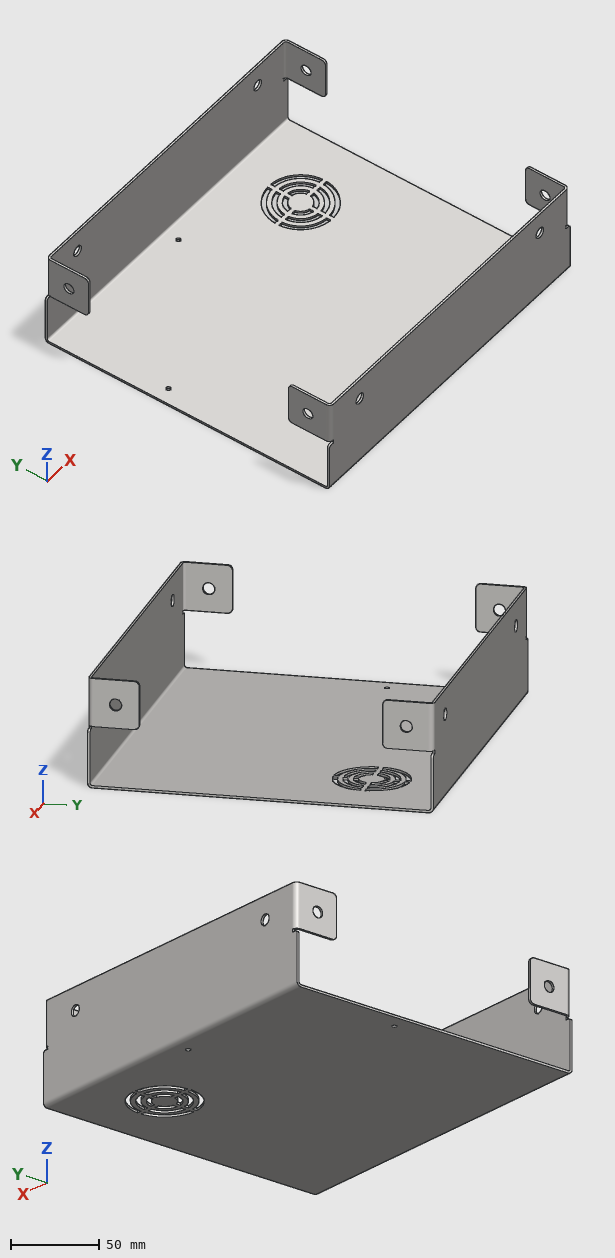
import cadquery as cq

length = 227.0
width = 202.0
height = 65.0
thickness = 1.5
bend_outer_radius = 3.0
bend_inner_radius = bend_outer_radius - thickness

flap_height = 28.5
flap_reach = 30.0
flap_inset = 1.0
flap_corner_radius = 3.0
relief_height = 1.8
relief_depth = flap_inset + bend_outer_radius
shoulder_radius = 2.0

mount_diameter = 7.0
mount_offset = 85.0
mount_z = height - 14.8

pin_diameter = 3.0
pin_centers = [(-2.7, 90.0), (-103.3, 21.0)]

grille_center = (63.5, 53.0)
grille_radius = 22.5
slot_inner_radius = 7.5
slot_width = 3.0
slot_rings = 3
slot_pitch = (grille_radius - slot_width - slot_inner_radius) / (slot_rings - 1)
spoke_width = 3.0


def block(x_range, y_range, z_range):
    """Box between the given limits on each axis."""
    size = [high - low for low, high in (x_range, y_range, z_range)]
    corner = (x_range[0], y_range[0], z_range[0])
    return cq.Workplane("XY").box(*size, centered=False).translate(corner)


def make_channel():
    """Floor and two side walls as one bent U-shaped sheet."""
    outer = (
        cq.Workplane("XY")
        .box(length, width, height, centered=(True, True, False))
        .edges("|X and <Z")
        .fillet(bend_outer_radius)
    )
    inner = (
        cq.Workplane("XY")
        .box(length, width - 2 * thickness, height, centered=(True, True, False))
        .edges("|X and <Z")
        .fillet(bend_inner_radius)
        .translate((0, 0, thickness))
    )
    return outer.cut(inner)


def make_end_notch():
    """Space removed from the upper end of the wall at the -X, -Y corner."""
    return block(
        (-length / 2, -length / 2 + relief_depth),
        (-width / 2, -width / 2 + thickness),
        (height - flap_height - relief_height, height),
    )


def make_flap():
    """Bent flap at the -X, -Y corner, with its bend and a short overlap into the wall."""
    outer_x = -length / 2 + flap_inset
    root_x = outer_x + bend_outer_radius + thickness
    outer_y = -width / 2
    z_range = (height - flap_height, height)
    outer = (
        block((outer_x, root_x), (outer_y, outer_y + flap_reach), z_range)
        .edges("|Z and <X and <Y")
        .fillet(bend_outer_radius)
        .edges("|X and >Y")
        .fillet(flap_corner_radius)
    )
    inner = (
        block((outer_x + thickness, 0), (outer_y + thickness, 0), z_range)
        .edges("|Z and <X and <Y")
        .fillet(bend_inner_radius)
    )
    return outer.cut(inner)


def at_all_corners(corner):
    """The given -X, -Y corner shape together with its three mirror images."""
    pair = corner.union(corner.mirror("YZ"))
    return pair.union(pair.mirror("XZ"))


def make_mount_holes():
    """Drills through both walls (along Y) and through all flaps (along X)."""
    centers = [(-mount_offset, mount_z), (mount_offset, mount_z)]
    radius = mount_diameter / 2
    wall_drills = cq.Workplane("XZ").pushPoints(centers).circle(radius).extrude(width, both=True)
    flap_drills = cq.Workplane("YZ").pushPoints(centers).circle(radius).extrude(length, both=True)
    return wall_drills.union(flap_drills)


def make_pin_holes():
    """Drills for the small holes in the floor."""
    return cq.Workplane("XY").pushPoints(pin_centers).circle(pin_diameter / 2).extrude(thickness)


def make_grille():
    """Concentric ring slots interrupted by a cross of spokes."""
    rings = cq.Workplane("XY")
    for ring in range(slot_rings):
        inner_radius = slot_inner_radius + ring * slot_pitch
        rings = rings.union(
            cq.Workplane("XY").circle(inner_radius + slot_width).circle(inner_radius).extrude(thickness)
        )
    spoke_length = 2 * (grille_radius + slot_width)
    spokes = (
        cq.Workplane("XY")
        .rect(spoke_length, spoke_width)
        .extrude(thickness)
        .union(cq.Workplane("XY").rect(spoke_width, spoke_length).extrude(thickness))
    )
    return rings.cut(spokes).translate((*grille_center, 0))


def round_shoulders(body):
    """Round the outer upper corners of the walls beside the flaps."""
    shoulder_z = height - flap_height - relief_height
    margin = shoulder_radius / 2
    for end in (-length / 2, length / 2):
        picker = cq.selectors.BoxSelector(
            (end - margin, -width, shoulder_z - margin),
            (end + margin, width, shoulder_z + margin),
        )
        body = body.edges("|Y").edges(picker).fillet(shoulder_radius)
    return body


channel = round_shoulders(make_channel().cut(at_all_corners(make_end_notch())))
bracket = channel.union(at_all_corners(make_flap()))
result = bracket.cut(make_mount_holes()).cut(make_pin_holes()).cut(make_grille())